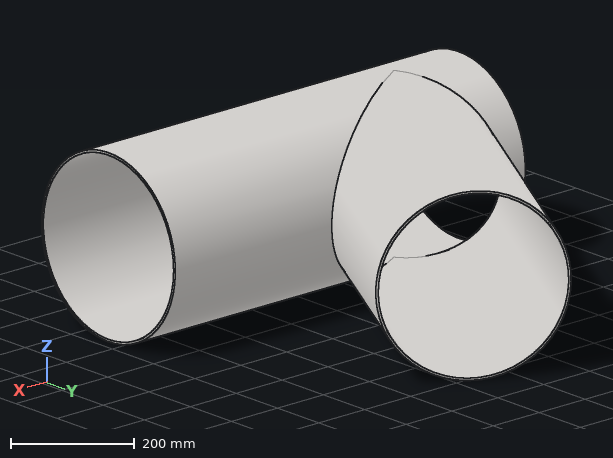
import cadquery as cq
import math

outer_diameter = 324.0
bore_diameter = 315.0

run_length = 762.0

branch_start_x = 141.5
branch_angle = 60
overall_width = 782
branch_slope = math.radians(branch_angle)
outer_radius = outer_diameter / 2

branch_reach_y = overall_width - outer_radius
branch_length = (branch_reach_y - outer_radius * math.cos(branch_slope)) / math.sin(branch_slope)

run_plane = cq.Plane.YZ()
branch_plane = cq.Plane(
    origin=(branch_start_x, 0, 0),
    xDir=(0, 0, 1),
    normal=(math.cos(branch_slope), math.sin(branch_slope), 0),
)


def wye(diameter):
    """Solid Y shape: a straight run joined by the slanted branch."""
    run = cq.Workplane(run_plane).circle(diameter / 2).extrude(run_length)
    branch = cq.Workplane(branch_plane).circle(diameter / 2).extrude(branch_length)
    return run.union(branch)


result = wye(outer_diameter).cut(wye(bore_diameter))